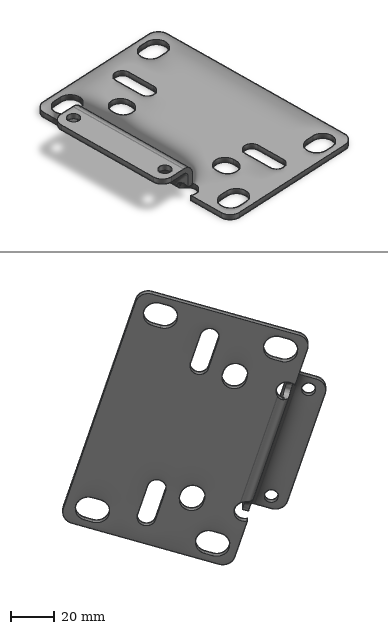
import cadquery as cq

thickness = 3.0
outer_bend = 6.0
inner_bend = outer_bend - thickness
corner_radius = 6.0

plate_width = 124.0
plate_depth = 83.0
total_depth = 100.0
total_height = 19.0
tab_width = 70.0

corner_slot = (12.0, 16.0)
corner_slot_x = 52.6
corner_slot_ys = (-13.0, -71.0)
long_slot = (24.4, 8.7)
long_slot_x = 40.9
long_slot_y = -38.0
short_slot = (13.0, 11.4)
short_slot_x = 33.0
short_slot_y = -55.0

tab_hole_diameter = 6.5
tab_hole_x = 28.9
tab_hole_y = -92.0

relief_radius = 5.0
relief_x = 32.5
relief_y = -80.4
relief_z = 2.6

wall_front = -plate_depth
wall_back = wall_front + thickness
bend_start = wall_front + outer_bend
tab_bend_end = wall_back - outer_bend
tab_underside = total_height - thickness
diagonal = 0.5 ** 0.5


def make_plate():
    """Rounded flat plate, notched where the bent tab leaves it."""
    plate = (
        cq.Workplane("XY")
        .box(plate_width, plate_depth, thickness, centered=(True, False, False))
        .translate((0, -plate_depth, 0))
        .edges("|Z")
        .fillet(corner_radius)
    )
    notch = (
        cq.Workplane("XY")
        .box(tab_width, outer_bend, thickness, centered=(True, False, False))
        .translate((0, wall_front, 0))
    )
    return plate.cut(notch)


def make_tab():
    """Z-bent strip: lower bend with a sharp inside corner, upright wall, upper bend and flat tab."""
    low_y, low_z = bend_start, outer_bend
    high_y, high_z = tab_bend_end, total_height - outer_bend
    outer_diagonal = outer_bend * diagonal
    inner_diagonal = inner_bend * diagonal
    tab = (
        cq.Workplane("YZ")
        .moveTo(low_y, 0)
        .threePointArc((low_y - outer_diagonal, low_z - outer_diagonal), (wall_front, low_z))
        .lineTo(wall_front, high_z)
        .threePointArc((high_y + inner_diagonal, high_z + inner_diagonal), (high_y, tab_underside))
        .lineTo(-total_depth, tab_underside)
        .lineTo(-total_depth, total_height)
        .lineTo(high_y, total_height)
        .threePointArc((high_y + outer_diagonal, high_z + outer_diagonal), (wall_back, high_z))
        .lineTo(wall_back, thickness)
        .lineTo(low_y, thickness)
        .close()
        .extrude(tab_width / 2, both=True)
    )
    return tab.edges("|Z").edges("<Y").fillet(corner_radius)


def slot_pair(size, x, y):
    """Cutters for two round-ended slots, one on each side of X = 0."""
    length = max(size)
    angle = 0 if size[0] > size[1] else 90
    return (
        cq.Workplane("XY")
        .pushPoints([(-x, y), (x, y)])
        .slot2D(length, min(size), angle)
        .extrude(thickness)
    )


def relief_cutter(side):
    """Round relief through the plate, continuing up the wall beside the lower bend."""
    through_plate = (
        cq.Workplane("XY")
        .center(side * relief_x, relief_y)
        .circle(relief_radius)
        .extrude(thickness)
    )
    through_wall = (
        cq.Workplane("XZ", origin=(0, wall_back, 0))
        .center(side * relief_x, relief_z)
        .circle(relief_radius)
        .extrude(thickness)
    )
    tab_zone = cq.Workplane("XY").box(tab_width, 2 * total_depth, 2 * total_height)
    return through_plate.union(through_wall.intersect(tab_zone))


result = make_plate().union(make_tab())

for slot_y in corner_slot_ys:
    result = result.cut(slot_pair(corner_slot, corner_slot_x, slot_y))
result = result.cut(slot_pair(long_slot, long_slot_x, long_slot_y))
result = result.cut(slot_pair(short_slot, short_slot_x, short_slot_y))

tab_holes = (
    cq.Workplane("XY", origin=(0, 0, tab_underside))
    .pushPoints([(-tab_hole_x, tab_hole_y), (tab_hole_x, tab_hole_y)])
    .circle(tab_hole_diameter / 2)
    .extrude(thickness)
)
result = result.cut(tab_holes)

for side in (-1, 1):
    result = result.cut(relief_cutter(side))